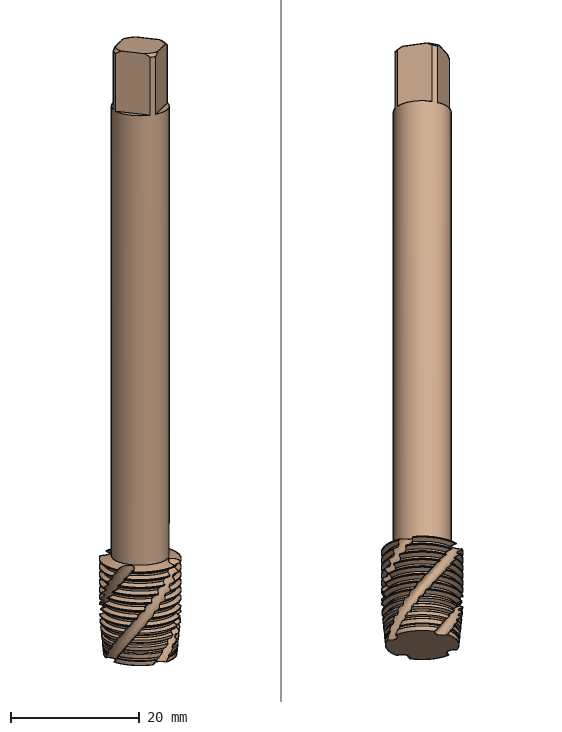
import cadquery as cq

inch = 25.4
overall_length = 100.0

shank_radius = 4.5
shank_base_z = 16.1
square_across_flats = 7.0
square_length = 10.0
end_chamfer = 0.5

major_radius = inch / 4
pitch = inch / 20
thread_depth = 0.7
crest_width = pitch / 8
root_width = pitch / 4
lead_length = 6.5
lead_tip_radius = 5.7
head_rim_z = 15.7
top_groove_z = 16.2
groove_count = 13

flute_count = 4
flute_radius = 1.2
flute_center_radius = 5.9
flute_lead = 45.0


def make_shank():
    """Round shank with a chamfered driving square at its upper end."""
    body = (
        cq.Workplane("XY", origin=(0, 0, shank_base_z))
        .circle(shank_radius)
        .extrude(overall_length - shank_base_z)
        .faces(">Z")
        .chamfer(end_chamfer)
    )
    square_base_z = overall_length - square_length
    waste = (
        cq.Workplane("XY", origin=(0, 0, square_base_z))
        .circle(2 * shank_radius)
        .rect(square_across_flats, square_across_flats)
        .extrude(square_length)
    )
    return body.cut(waste)


def make_head_blank():
    """Head before threading: tapered lead, cylinder, and a shallow cone up to the shank."""
    return (
        cq.Workplane("XZ")
        .moveTo(0, 0)
        .lineTo(lead_tip_radius, 0)
        .lineTo(major_radius, lead_length)
        .lineTo(major_radius, head_rim_z)
        .lineTo(shank_radius, shank_base_z)
        .lineTo(0, shank_base_z)
        .close()
        .revolve(360, (0, 0, 0), (0, 1, 0))
    )


def make_thread_groove(center_z):
    """Ring-shaped groove with sloping sides and a flat root, extended past the major radius."""
    root_radius = major_radius - thread_depth
    half_mouth = (pitch - crest_width) / 2
    half_root = root_width / 2
    outer_radius = 2 * major_radius
    return (
        cq.Workplane("XZ")
        .moveTo(root_radius, center_z - half_root)
        .lineTo(root_radius, center_z + half_root)
        .lineTo(major_radius, center_z + half_mouth)
        .lineTo(outer_radius, center_z + half_mouth)
        .lineTo(outer_radius, center_z - half_mouth)
        .lineTo(major_radius, center_z - half_mouth)
        .close()
        .revolve(360, (0, 0, 0), (0, 1, 0))
    )


def make_flutes():
    """Right-hand helical cutters, on the X and Y axes at the top of the head."""
    twist = 360 * shank_base_z / flute_lead
    return (
        cq.Workplane("XY")
        .polarArray(flute_center_radius, -twist, 360, flute_count)
        .circle(flute_radius)
        .twistExtrude(shank_base_z, twist)
    )


def make_head():
    """Threaded and fluted cutting head that carries the shank on its top face."""
    head = make_head_blank()
    for index in range(groove_count):
        head = head.cut(make_thread_groove(top_groove_z - index * pitch))
    return head.cut(make_flutes())


shank = make_shank()
head = make_head()

result = cq.Compound.makeCompound([shank.val(), *head.solids().vals()])